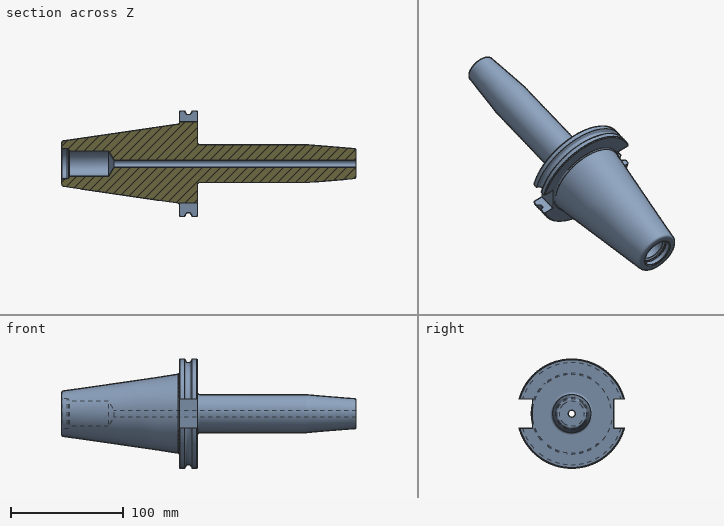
import cadquery as cq
import math

total_length = 261.5
gauge_x = 102.5
flange_back_x = 104.6
flange_front_x = 120.9
nose_start_x = 217.5

taper_ratio = 7 / 24
gauge_diameter = 70.0
taper_end_radius = gauge_diameter / 2 - gauge_x * taper_ratio / 2
taper_end_fillet = 2.0
taper_root_fillet = 1.0

flange_radius = 97.3 / 2
flange_chamfer = 0.8
groove_x = 112.8
groove_depth = 3.1
groove_floor_width = 3.1
groove_floor_fillet = 1.0
groove_wall_angle = math.radians(30)
groove_top_width = groove_floor_width + 2 * groove_depth * math.tan(groove_wall_angle)

slot_width = 25.6
front_slot_floor = 35.0
back_slot_floor = 37.5

shank_radius = 34.0 / 2
shank_fillet = 2.0
nose_end_radius = 26.7 / 2
nose_fillet = 1.3

mouth_diameter = 28.8
entry_diameter = 26.7
entry_depth = 4.7
pilot_diameter = 26.2
pilot_depth = 6.0
bore_chamfer_angle = math.radians(60)
thread_diameter = 22.2
thread_depth = 41.9
through_diameter = 6.0
drill_half_angle = math.radians(59)


def revolve_profile(points):
    """Revolve a closed (x, radius) outline about the X axis."""
    return cq.Workplane("XY").polyline(points).close().revolve(360, (0, 0, 0), (1, 0, 0))


def make_taper():
    taper = revolve_profile([
        (0, 0),
        (0, taper_end_radius),
        (gauge_x, gauge_diameter / 2),
        (flange_back_x, gauge_diameter / 2),
        (flange_back_x, 0),
    ])
    return taper.faces("<X").edges().fillet(taper_end_fillet)


def make_flange():
    floor_radius = flange_radius - groove_depth
    rim_radius = flange_radius - flange_chamfer
    flange = revolve_profile([
        (flange_back_x, 0),
        (flange_back_x, rim_radius),
        (flange_back_x + flange_chamfer, flange_radius),
        (groove_x - groove_top_width / 2, flange_radius),
        (groove_x - groove_floor_width / 2, floor_radius),
        (groove_x + groove_floor_width / 2, floor_radius),
        (groove_x + groove_top_width / 2, flange_radius),
        (flange_front_x - flange_chamfer, flange_radius),
        (flange_front_x, rim_radius),
        (flange_front_x, 0),
    ])
    reach = floor_radius + groove_depth / 2
    floor_edges = cq.selectors.BoxSelector(
        (groove_x - groove_floor_width, -reach, -reach),
        (groove_x + groove_floor_width, reach, reach),
        boundingbox=True,
    )
    return flange.edges("%CIRCLE").edges(floor_edges).fillet(groove_floor_fillet)


def make_shank():
    shank = revolve_profile([
        (flange_front_x, 0),
        (flange_front_x, shank_radius),
        (nose_start_x, shank_radius),
        (total_length, nose_end_radius),
        (total_length, 0),
    ])
    return shank.faces(">X").edges().fillet(nose_fillet)


def make_root_fillet(face_x, neck_radius, fillet_radius, side):
    """Concave ring blending a neck into a flange face that looks along +X (side 1) or -X (side -1)."""
    x_end = face_x + side * fillet_radius
    arc_offset = fillet_radius * (1 - math.sqrt(0.5))
    arc_middle = (face_x + side * arc_offset, neck_radius + arc_offset)
    return (
        cq.Workplane("XY")
        .moveTo(face_x, 0)
        .lineTo(face_x, neck_radius + fillet_radius)
        .threePointArc(arc_middle, (x_end, neck_radius))
        .lineTo(x_end, 0)
        .close()
        .revolve(360, (0, 0, 0), (1, 0, 0))
    )


def make_slot(floor, side):
    """Drive slot across the flange, open toward +Y (side 1) or -Y (side -1)."""
    slot_depth = flange_radius - floor
    return (
        cq.Workplane("XY")
        .box(flange_front_x - flange_back_x, slot_depth, slot_width, centered=(False, True, True))
        .translate((flange_back_x, side * (floor + slot_depth / 2), 0))
    )


def make_bore():
    mouth_chamfer = (mouth_diameter - entry_diameter) / 2 / math.tan(bore_chamfer_angle)
    pilot_step = (pilot_diameter - thread_diameter) / 2 / math.tan(bore_chamfer_angle)
    drill_point = (thread_diameter - through_diameter) / 2 / math.tan(drill_half_angle)
    return revolve_profile([
        (0, 0),
        (0, mouth_diameter / 2),
        (mouth_chamfer, entry_diameter / 2),
        (entry_depth, entry_diameter / 2),
        (entry_depth, pilot_diameter / 2),
        (pilot_depth, pilot_diameter / 2),
        (pilot_depth + pilot_step, thread_diameter / 2),
        (thread_depth, thread_diameter / 2),
        (thread_depth + drill_point, through_diameter / 2),
        (total_length, through_diameter / 2),
        (total_length, 0),
    ])


result = make_taper().union(make_flange()).union(make_shank())
result = result.union(make_root_fillet(flange_front_x, shank_radius, shank_fillet, 1))
result = result.union(make_root_fillet(flange_back_x, gauge_diameter / 2, taper_root_fillet, -1))
result = result.cut(make_slot(front_slot_floor, -1)).cut(make_slot(back_slot_floor, 1))
result = result.cut(make_bore())